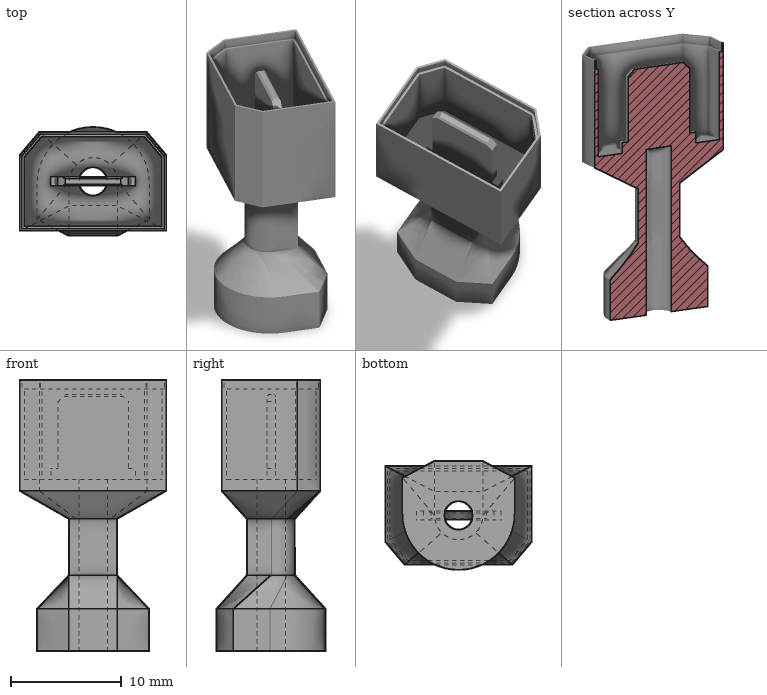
import cadquery as cq
import math

BASE_TOP = 3.81
NECK_BOTTOM = 6.86
NECK_TOP = 11.94
HEAD_BOTTOM = 14.48
HEAD_TOP = 24.51

BASE_RADIUS = 5.06
BASE_DEPTH = 9.86
BASE_CENTER_Y = -0.13
BASE_SIDE_LENGTH = 3.27

NECK_WIDTH = 4.34
NECK_RADIUS = NECK_WIDTH / 2
BASE_RUNOUT_ANGLE = 42
HEAD_RUNOUT_ANGLE = 45

HEAD_WIDTH = 13.26
HEAD_DEPTH = 8.94
CORNER_CUT_X = 1.78
CORNER_CUT_Y = 2.1

WALL = 0.43
RIM_WALL = 0.2
RIM_STEP_DEPTH = 0.8
FLOOR_THICKNESS = 1.02
FLOOR_Z = HEAD_BOTTOM + FLOOR_THICKNESS

BLADE_WIDTH = 6.35
BLADE_THICKNESS = 0.81
BLADE_TOP = 23.2
BLADE_END_CHAMFER = 0.65
BLADE_EDGE_CHAMFER = 0.17
SHOULDER_WIDTH = 7.62
SHOULDER_HEIGHT = 1.0

BORE_DIAMETER = 2.54


def level(z):
    """Horizontal work plane at height z."""
    return cq.Workplane("XY").workplane(offset=z)


def base_outline(plane):
    """Base section: back semicircle, straight sides, bevels and a front flat."""
    front_y = BASE_CENTER_Y + BASE_RADIUS - BASE_DEPTH
    bevel_y = BASE_CENTER_Y - BASE_SIDE_LENGTH
    return (
        plane.moveTo(-NECK_RADIUS, front_y)
        .lineTo(NECK_RADIUS, front_y)
        .lineTo(BASE_RADIUS, bevel_y)
        .lineTo(BASE_RADIUS, BASE_CENTER_Y)
        .threePointArc((0, BASE_CENTER_Y + BASE_RADIUS), (-BASE_RADIUS, BASE_CENTER_Y))
        .lineTo(-BASE_RADIUS, bevel_y)
        .close()
    )


def neck_outline(plane):
    """Neck section: back semicircle joined to a square front."""
    return (
        plane.moveTo(-NECK_RADIUS, -NECK_RADIUS)
        .lineTo(NECK_RADIUS, -NECK_RADIUS)
        .lineTo(NECK_RADIUS, 0)
        .threePointArc((0, NECK_RADIUS), (-NECK_RADIUS, 0))
        .close()
    )


def neck_outline_for_transition(plane, runout_angle):
    """Neck section with its arc split so that each edge has a partner in the other section."""

    def arc_point(angle):
        radians = math.radians(angle)
        return NECK_RADIUS * math.cos(radians), NECK_RADIUS * math.sin(radians)

    return (
        plane.moveTo(-NECK_RADIUS, -NECK_RADIUS)
        .lineTo(NECK_RADIUS, -NECK_RADIUS)
        .lineTo(NECK_RADIUS, 0)
        .threePointArc(arc_point(runout_angle / 2), arc_point(runout_angle))
        .threePointArc((0, NECK_RADIUS), arc_point(180 - runout_angle))
        .threePointArc(arc_point(180 - runout_angle / 2), (-NECK_RADIUS, 0))
        .close()
    )


def head_outline(plane):
    """Head section: rectangle with the two back corners cut off."""
    half_width = HEAD_WIDTH / 2
    half_depth = HEAD_DEPTH / 2
    return (
        plane.moveTo(-half_width, -half_depth)
        .lineTo(half_width, -half_depth)
        .lineTo(half_width, half_depth - CORNER_CUT_Y)
        .lineTo(half_width - CORNER_CUT_X, half_depth)
        .lineTo(-half_width + CORNER_CUT_X, half_depth)
        .lineTo(-half_width, half_depth - CORNER_CUT_Y)
        .close()
    )


def ruled_transition(lower_section, upper_section):
    """Straight-sided transition between two sections."""
    wires = [lower_section.wires().val(), upper_section.wires().val()]
    return cq.Workplane(obj=cq.Solid.makeLoft(wires, True))


def make_body():
    """Outer form without the cavity, bore and blade."""
    base = base_outline(level(0)).extrude(BASE_TOP)
    base_to_neck = ruled_transition(
        base_outline(level(BASE_TOP)),
        neck_outline_for_transition(level(NECK_BOTTOM), BASE_RUNOUT_ANGLE),
    )
    neck = neck_outline(level(NECK_BOTTOM)).extrude(NECK_TOP - NECK_BOTTOM)
    neck_to_head = ruled_transition(
        neck_outline_for_transition(level(NECK_TOP), HEAD_RUNOUT_ANGLE),
        head_outline(level(HEAD_BOTTOM)),
    )
    head = head_outline(level(HEAD_BOTTOM)).extrude(HEAD_TOP - HEAD_BOTTOM)
    return base.union(base_to_neck).union(neck).union(neck_to_head).union(head)


def head_pocket(bottom_z, wall):
    """Pocket open at the rim, leaving an even wall inside the head outline."""
    return head_outline(level(bottom_z)).offset2D(-wall, "intersection").extrude(HEAD_TOP - bottom_z)


def make_cavity():
    """Head cavity with the wider step at its rim."""
    return head_pocket(FLOOR_Z, WALL).union(head_pocket(HEAD_TOP - RIM_STEP_DEPTH, RIM_WALL))


def make_bore():
    """Central bore from the bottom of the base up to the cavity floor."""
    return level(0).circle(BORE_DIAMETER / 2).extrude(FLOOR_Z)


def make_blade():
    """Blade with bevelled ends, chamfered top edges and a wider foot."""
    half_width = BLADE_WIDTH / 2
    tip_z = BLADE_TOP - BLADE_END_CHAMFER
    shoulders = level(FLOOR_Z).rect(SHOULDER_WIDTH, BLADE_THICKNESS).extrude(SHOULDER_HEIGHT)
    tab = (
        cq.Workplane("XZ")
        .moveTo(-half_width, FLOOR_Z)
        .lineTo(half_width, FLOOR_Z)
        .lineTo(half_width, tip_z)
        .lineTo(half_width - BLADE_END_CHAMFER, BLADE_TOP)
        .lineTo(-half_width + BLADE_END_CHAMFER, BLADE_TOP)
        .lineTo(-half_width, tip_z)
        .close()
        .extrude(BLADE_THICKNESS / 2, both=True)
        .faces(">Z")
        .edges("|X")
        .chamfer(BLADE_EDGE_CHAMFER)
    )
    return shoulders.union(tab)


result = make_body().cut(make_cavity()).cut(make_bore()).union(make_blade())